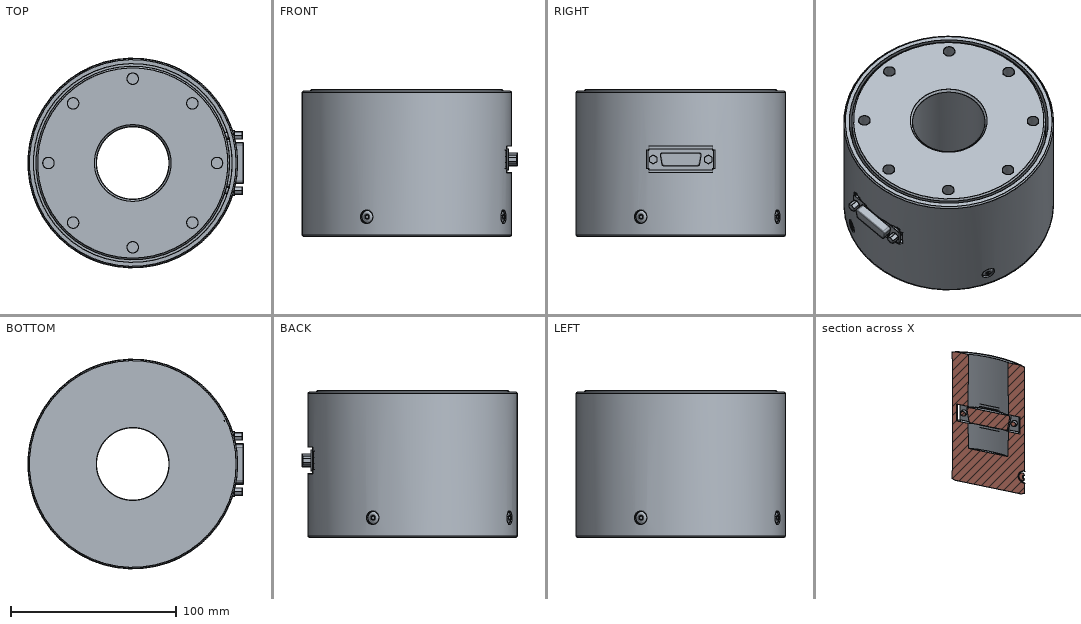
import cadquery as cq
import math

LONGEST_SIDE = 130.2
HOUSING_DIAMETER = 126.7
HOUSING_RADIUS = HOUSING_DIAMETER / 2
TOTAL_HEIGHT = 88.9
PLATE_RISE = 0.9
HOUSING_HEIGHT = TOTAL_HEIGHT - PLATE_RISE
EDGE_CHAMFER = 0.9

CORE_DIAMETER = 116.9
CORE_RADIUS = CORE_DIAMETER / 2
PLATE_CHAMFER = 1.0
GAP_WIDTH = 1.5
BORE_DIAMETER = 43.7
BORE_CHAMFER = 1.3

PLATE_HOLE_COUNT = 8
PLATE_HOLE_DIAMETER = 6.9
PLATE_HOLE_CIRCLE_RADIUS = 50.9
PLATE_HOLE_DEPTH = 13

HEXAGON_SIDES = 6
HEXAGON_TURN = 180 / HEXAGON_SIDES

SCREW_COUNT = 4
SCREW_FIRST_ANGLE = 22.5
SCREW_HEIGHT = 12.0
SCREW_POCKET_DIAMETER = 8.1
SCREW_POCKET_DEPTH = 2.2
SCREW_HEAD_DIAMETER = 8.0
SCREW_TIP_DIAMETER = 3.9
SCREW_TIP_INSET = 0.1
SOCKET_CORNER_DIAMETER = 2.9
SOCKET_DEPTH = 1.2
SOCKET_CONE_DIAMETER = 2.3
SOCKET_CONE_DEPTH = 0.7

GAP_FLOOR = 2 * SCREW_HEIGHT

CONNECTOR_HEIGHT = 46.6
CONNECTOR_TIP = LONGEST_SIDE - HOUSING_RADIUS
FLAT_POSITION = 60.4
FLAT_HEIGHT = 16.0
WINDOW_LENGTH = 41.7
WINDOW_HEIGHT = 11.2
FLANGE_THICKNESS = 1.2
FLANGE_FRONT = FLAT_POSITION + FLANGE_THICKNESS
FLANGE_LENGTH = 39.3
FLANGE_HEIGHT = 12.8
FLANGE_CORNER_RADIUS = 1.3
SHELL_LENGTH = 25.1
SHELL_HEIGHT = 7.8
SHELL_CORNER_RADIUS = 1.3
SHELL_END_SLANT = 10
SHELL_TIP_FILLET = 0.4
REAR_BODY_LENGTH = 29.2
REAR_BODY_HEIGHT = 10.7
JACKSCREW_OFFSET = 16.7
JACKSCREW_TIP = 66.1
JACKSCREW_ACROSS_FLATS = 4.5
JACKSCREW_SHANK_DIAMETER = 3.5
CONNECTOR_REAR = 54.7


def disc(radius, bottom, top):
    return cq.Workplane("XY").workplane(offset=bottom).circle(radius).extrude(top - bottom)


def make_drum():
    """Housing, core and the ring gap between them, as one body."""
    housing = disc(HOUSING_RADIUS, 0, HOUSING_HEIGHT).edges().chamfer(EDGE_CHAMFER)
    gap = disc(CORE_RADIUS + GAP_WIDTH, GAP_FLOOR, TOTAL_HEIGHT)
    core = disc(CORE_RADIUS, 0, TOTAL_HEIGHT).faces(">Z").edges().chamfer(PLATE_CHAMFER)
    return housing.cut(gap).union(core)


def cut_bore(body):
    body = body.cut(disc(BORE_DIAMETER / 2, 0, TOTAL_HEIGHT))
    top_edge = body.faces(">Z").edges(cq.selectors.RadiusNthSelector(0))
    return top_edge.chamfer(BORE_CHAMFER)


def cut_plate_holes(body):
    holes = (
        cq.Workplane("XY", origin=(0, 0, TOTAL_HEIGHT))
        .polarArray(PLATE_HOLE_CIRCLE_RADIUS, 0, 360, PLATE_HOLE_COUNT)
        .circle(PLATE_HOLE_DIAMETER / 2)
        .extrude(-PLATE_HOLE_DEPTH)
    )
    return body.cut(holes)


def make_screw_head(seat, tip):
    """Domed head along +X from the seat to its flat tip, with a drilled hexagon socket."""
    rim_radius = SCREW_HEAD_DIAMETER / 2
    tip_radius = SCREW_TIP_DIAMETER / 2
    bulge = math.sqrt(0.5)
    middle_radius = tip_radius + (rim_radius - tip_radius) * bulge
    middle = seat + (tip - seat) * bulge
    head = (
        cq.Workplane("XY")
        .moveTo(seat, 0)
        .lineTo(seat, rim_radius)
        .threePointArc((middle, middle_radius), (tip, tip_radius))
        .lineTo(tip, 0)
        .close()
        .revolve(360, (0, 0, 0), (1, 0, 0))
    )
    socket = (
        cq.Workplane("YZ", origin=(tip, 0, 0))
        .transformed(rotate=(0, 0, HEXAGON_TURN))
        .polygon(HEXAGON_SIDES, SOCKET_CORNER_DIAMETER)
        .extrude(-SOCKET_DEPTH)
    )
    cone = cq.Workplane(
        cq.Solid.makeCone(
            SOCKET_CONE_DIAMETER / 2,
            0,
            SOCKET_CONE_DEPTH,
            cq.Vector(tip - SOCKET_DEPTH, 0, 0),
            cq.Vector(-1, 0, 0),
        )
    )
    return head.cut(socket).cut(cone)


def add_wall_screws(body):
    seat = HOUSING_RADIUS - SCREW_POCKET_DEPTH
    tip = HOUSING_RADIUS - SCREW_TIP_INSET
    pocket = (
        cq.Workplane("YZ", origin=(seat, 0, SCREW_HEIGHT))
        .circle(SCREW_POCKET_DIAMETER / 2)
        .extrude(2 * SCREW_POCKET_DEPTH)
    )
    head = make_screw_head(seat, tip).translate((0, 0, SCREW_HEIGHT))
    for index in range(SCREW_COUNT):
        angle = 360 / SCREW_COUNT * index - SCREW_FIRST_ANGLE
        body = body.cut(pocket.rotate((0, 0, 0), (0, 0, 1), angle))
        body = body.union(head.rotate((0, 0, 0), (0, 0, 1), angle))
    return body


def connector_plane(x, y=0):
    return cq.Workplane("YZ", origin=(x, y, CONNECTOR_HEIGHT))


def make_shell(start, end, length, height):
    """D-shaped prism along X, its wide side up."""
    half_height = height / 2
    top_half = length / 2
    bottom_half = top_half - height * math.tan(math.radians(SHELL_END_SLANT))
    return (
        connector_plane(start)
        .polyline(
            [
                (-top_half, half_height),
                (top_half, half_height),
                (bottom_half, -half_height),
                (-bottom_half, -half_height),
            ]
        )
        .close()
        .extrude(end - start)
        .edges("|X")
        .fillet(SHELL_CORNER_RADIUS)
    )


def make_jackscrew(y):
    """Hexagon standoff with two corners up and down, and its round shank."""
    corner_diameter = JACKSCREW_ACROSS_FLATS / math.cos(math.radians(HEXAGON_TURN))
    standoff = (
        connector_plane(FLAT_POSITION, y)
        .transformed(rotate=(0, 0, HEXAGON_TURN))
        .polygon(HEXAGON_SIDES, corner_diameter)
        .extrude(JACKSCREW_TIP - FLAT_POSITION)
    )
    shank = (
        connector_plane(CONNECTOR_REAR, y)
        .circle(JACKSCREW_SHANK_DIAMETER / 2)
        .extrude(FLANGE_FRONT - CONNECTOR_REAR)
    )
    return standoff.union(shank)


def cut_connector_seat(body):
    """Flat across the wall, with a window through the thin web left behind it."""
    flat = (
        connector_plane(FLAT_POSITION)
        .rect(HOUSING_DIAMETER, FLAT_HEIGHT)
        .extrude(HOUSING_RADIUS - FLAT_POSITION)
    )
    window = (
        connector_plane(CORE_RADIUS)
        .rect(WINDOW_LENGTH, WINDOW_HEIGHT)
        .extrude(HOUSING_RADIUS - CORE_RADIUS)
    )
    return body.cut(flat).cut(window)


def add_connector(body):
    flange = (
        connector_plane(FLAT_POSITION)
        .rect(FLANGE_LENGTH, FLANGE_HEIGHT)
        .extrude(FLANGE_THICKNESS)
        .edges("|X")
        .fillet(FLANGE_CORNER_RADIUS)
    )
    shell = make_shell(FLAT_POSITION, CONNECTOR_TIP, SHELL_LENGTH, SHELL_HEIGHT)
    shell = shell.faces(">X").edges().fillet(SHELL_TIP_FILLET)
    rear_body = make_shell(CONNECTOR_REAR, FLANGE_FRONT, REAR_BODY_LENGTH, REAR_BODY_HEIGHT)
    body = body.union(flange).union(shell).union(rear_body)
    for side in (-1, 1):
        body = body.union(make_jackscrew(side * JACKSCREW_OFFSET))
    return body


drum = cut_plate_holes(cut_bore(make_drum()))
result = add_connector(cut_connector_seat(add_wall_screws(drum)))